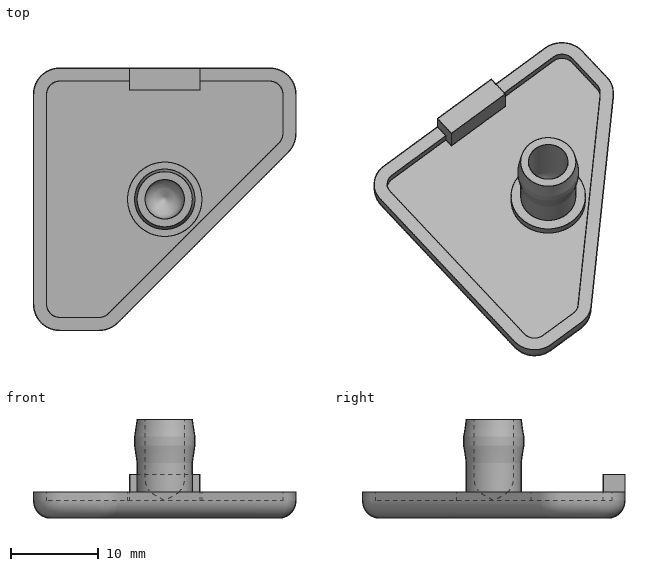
import cadquery as cq
import math

plate_size = 30.0
plate_thickness = 3.0
corner_radius = 3.0
short_side_flat = 4.5
bottom_edge_radius = 2.0

rim_width = 1.5
recess_depth = 1.0

tab_width = 8.0
tab_length = 2.5
tab_height = 2.0

flange_diameter = 8.5
flange_height = recess_depth
pin_diameter = 6.3
barb_diameter = 6.9
pin_height = 8.3
barb_taper_height = 2.0
barb_band_height = 1.0

bore_diameter = 4.5
bore_tip_angle = 120.0
bore_blend_radius = 2.0

rim_z = plate_thickness
floor_z = rim_z - recess_depth
pin_top_z = rim_z + pin_height
bore_tip_z = floor_z
half_size = plate_size / 2


def make_plate():
    cut_setback = corner_radius * math.tan(math.radians(22.5))
    cut_end = -half_size + corner_radius + short_side_flat + cut_setback
    outline = [
        (-half_size, -half_size),
        (cut_end, -half_size),
        (half_size, -cut_end),
        (half_size, half_size),
        (-half_size, half_size),
    ]
    blank = cq.Workplane("XY").polyline(outline).close().extrude(plate_thickness)
    return blank.edges("|Z").fillet(corner_radius)


def make_recess(plate):
    rim_outline = plate.faces(">Z").wires().toPending()
    return rim_outline.offset2D(-rim_width).extrude(-recess_depth, combine=False)


def make_tab():
    height = tab_height + recess_depth
    return (
        cq.Workplane("XY")
        .box(tab_width, tab_length, height, centered=(True, False, False))
        .translate((0, half_size - tab_length, floor_z))
    )


def make_pin():
    flange_radius = flange_diameter / 2
    pin_radius = pin_diameter / 2
    barb_radius = barb_diameter / 2
    flange_top_z = floor_z + flange_height
    band_top_z = pin_top_z - barb_taper_height
    band_bottom_z = band_top_z - barb_band_height
    shank_top_z = band_bottom_z - barb_taper_height
    profile = [
        (0, floor_z),
        (flange_radius, floor_z),
        (flange_radius, flange_top_z),
        (pin_radius, flange_top_z),
        (pin_radius, shank_top_z),
        (barb_radius, band_bottom_z),
        (barb_radius, band_top_z),
        (pin_radius, pin_top_z),
        (0, pin_top_z),
    ]
    return cq.Workplane("XZ").polyline(profile).close().revolve(360, (0, 0), (0, 1))


def make_bore():
    bore_radius = bore_diameter / 2
    cone_slope = math.radians(90 - bore_tip_angle / 2)
    blend_centre_x = bore_radius - bore_blend_radius
    cone_radius = blend_centre_x + bore_blend_radius * math.sin(cone_slope)
    cone_top_z = bore_tip_z + cone_radius * math.tan(cone_slope)
    blend_centre_z = cone_top_z + bore_blend_radius * math.cos(cone_slope)

    middle_angle = (cone_slope + math.pi / 2) / 2
    blend_middle = (
        blend_centre_x + bore_blend_radius * math.sin(middle_angle),
        blend_centre_z - bore_blend_radius * math.cos(middle_angle),
    )
    return (
        cq.Workplane("XZ")
        .moveTo(0, pin_top_z)
        .lineTo(bore_radius, pin_top_z)
        .lineTo(bore_radius, blend_centre_z)
        .threePointArc(blend_middle, (cone_radius, cone_top_z))
        .lineTo(0, bore_tip_z)
        .close()
        .revolve(360, (0, 0), (0, 1))
    )


plate = make_plate()
recess = make_recess(plate)
plate = plate.faces("<Z").edges().fillet(bottom_edge_radius)
result = plate.cut(recess).union(make_tab()).union(make_pin()).cut(make_bore())